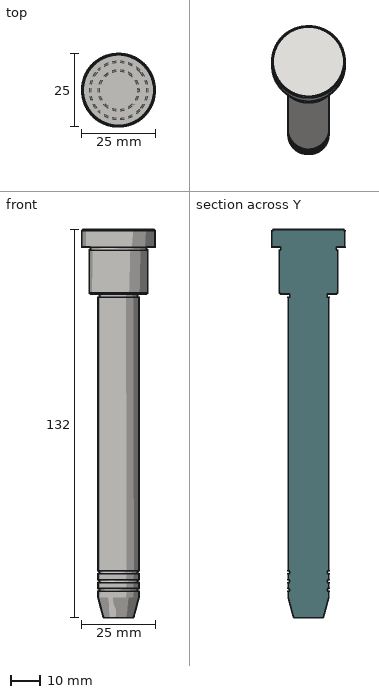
import cadquery as cq

total_length = 132.0
head_diameter = 25.0
head_height = 6.0
collar_diameter = 20.0
collar_height = 16.0
shank_diameter = 14.0

head_chamfer = 0.5
collar_chamfer = 0.5
tip_fillet = 0.5

groove_radius = 0.5
ring_count = 3
ring_pitch = 3.0

relief_width = 1.0
relief_depth = 0.5

cone_length = 7.0
cone_half_angle = 15.0

head_bottom = -head_height
collar_bottom = head_bottom - collar_height
cone_top = -total_length + cone_length


def cylinder(diameter, top, bottom):
    """Cylinder on the Z axis between two levels."""
    return cq.Workplane("XY").workplane(offset=bottom).circle(diameter / 2).extrude(top - bottom)


def groove_cutter(diameter, top):
    """Torus centred on the cylinder surface, cutting a half-round groove down from the top level."""
    torus = cq.Solid.makeTorus(diameter / 2, groove_radius, cq.Vector(0, 0, top - groove_radius))
    return cq.Workplane("XY").add(torus)


def make_head():
    return cylinder(head_diameter, 0, head_bottom).faces(">Z").edges().chamfer(head_chamfer)


def make_collar():
    collar = cylinder(collar_diameter, head_bottom, collar_bottom)
    collar = collar.faces("<Z").edges().chamfer(collar_chamfer)
    return collar.cut(groove_cutter(collar_diameter, head_bottom))


def make_shank():
    relief_bottom = collar_bottom - relief_width
    neck = cylinder(shank_diameter - 2 * relief_depth, collar_bottom, relief_bottom)
    shank = cylinder(shank_diameter, relief_bottom, cone_top).union(neck)
    for index in range(1, ring_count + 1):
        shank = shank.cut(groove_cutter(shank_diameter, cone_top + index * ring_pitch))
    return shank


def make_lead_in():
    cone = (
        cq.Workplane("XY")
        .workplane(offset=cone_top)
        .circle(shank_diameter / 2)
        .extrude(-cone_length, taper=cone_half_angle)
    )
    return cone.faces("<Z").edges().fillet(tip_fillet)


result = make_head().union(make_collar()).union(make_shank()).union(make_lead_in())